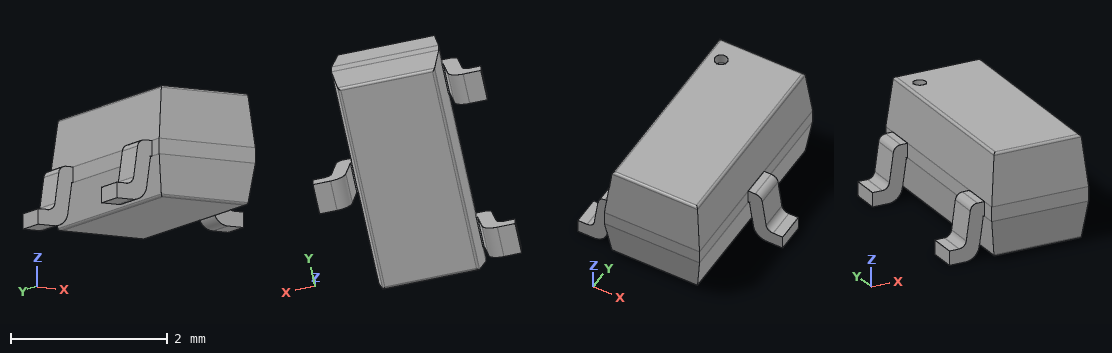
import cadquery as cq
import math

housing_width = 1.405
housing_length = 2.9
housing_bottom = 0.05
housing_top = 1.5
belt_top = 0.79
taper_inset = 0.072
edge_radius = 0.035

mark_diameter = 0.175
mark_depth = 0.145
mark_x = -0.42

lead_thickness = 0.203
lead_width = 0.405
lead_reach = 0.508
lead_lean = 8.0
shoulder_length = 0.195
shoulder_radius = 0.105
foot_inner_radius = 0.105
heel_radius = 0.203
row_offset = 1.05

belt_bottom = belt_top - lead_thickness


def tapered_block(start_z, end_z):
    """Block from the belt outline at start_z to the smaller, rounded rim at end_z."""
    height = end_z - start_z
    draft = math.degrees(math.atan(taper_inset / abs(height)))
    block = (
        cq.Workplane("XY", origin=(0, 0, start_z))
        .rect(housing_width, housing_length)
        .extrude(height, taper=draft)
    )
    rim = ">Z" if height > 0 else "<Z"
    return block.faces(rim).edges().fillet(edge_radius)


def make_housing():
    belt = (
        cq.Workplane("XY", origin=(0, 0, belt_bottom))
        .rect(housing_width, housing_length)
        .extrude(belt_top - belt_bottom)
    )
    mark = (
        cq.Workplane("XY", origin=(mark_x, row_offset, housing_top - mark_depth))
        .circle(mark_diameter / 2)
        .extrude(mark_depth)
    )
    upper = tapered_block(belt_top, housing_top)
    lower = tapered_block(belt_bottom, housing_bottom)
    return belt.union(upper).union(lower).cut(mark)


def make_lead():
    """Lead in the middle of the +X side: shoulder, leaning leg and flat foot."""
    slope = math.tan(math.radians(lead_lean))
    leg_span = lead_thickness / math.cos(math.radians(lead_lean))
    root_x = housing_width / 2
    toe_x = root_x + lead_reach
    shoulder_x = root_x + shoulder_length

    def outer_x(z):
        return shoulder_x + (belt_top - z) * slope

    def inner_x(z):
        return outer_x(z) - leg_span

    foot_corner = (outer_x(lead_thickness), lead_thickness)
    heel_corner = (inner_x(0), 0)
    lead = (
        cq.Workplane("XZ", origin=(0, lead_width / 2, 0))
        .moveTo(root_x, belt_top)
        .lineTo(shoulder_x, belt_top)
        .lineTo(*foot_corner)
        .lineTo(toe_x, lead_thickness)
        .lineTo(toe_x, 0)
        .lineTo(*heel_corner)
        .lineTo(inner_x(belt_bottom), belt_bottom)
        .lineTo(root_x, belt_bottom)
        .close()
        .extrude(lead_width)
    )
    bends = [
        ((shoulder_x, belt_top), shoulder_radius),
        (foot_corner, foot_inner_radius),
        (heel_corner, heel_radius),
    ]
    for (x, z), radius in bends:
        corner = cq.selectors.NearestToPointSelector((x, 0, z))
        lead = lead.edges("|Y").edges(corner).fillet(radius)
    return lead


housing = make_housing()

lead_places = [(0, 0), (180, row_offset), (180, -row_offset)]
leads = []
for turn, y_position in lead_places:
    lead = make_lead().rotate((0, 0, 0), (0, 0, 1), turn).translate((0, y_position, 0))
    leads.append(lead.val())

result = cq.Compound.makeCompound([housing.val(), *leads])